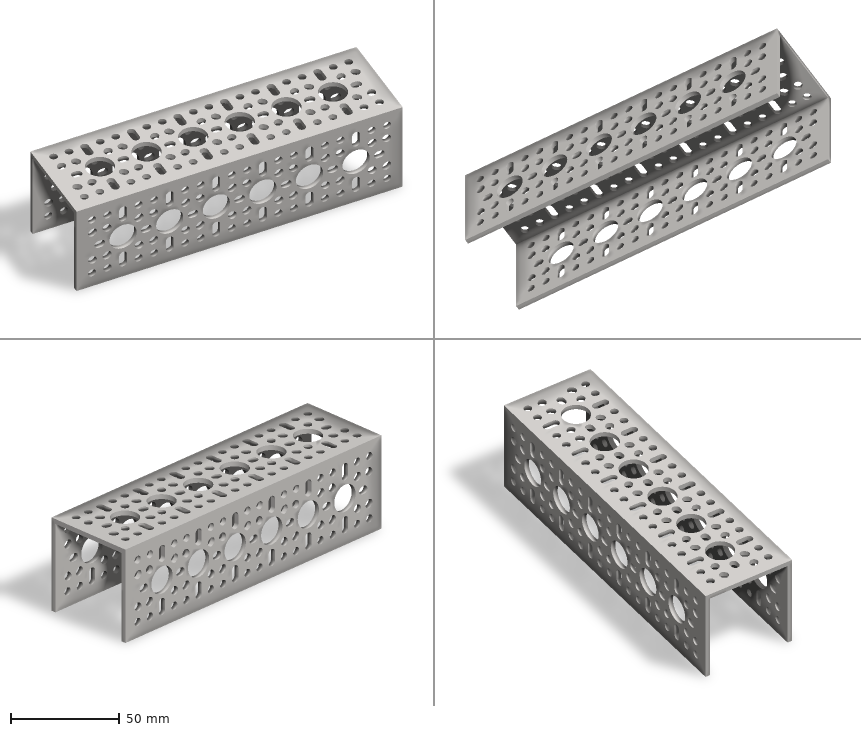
import cadquery as cq
import math

length = 168.0
wall = 2.5
station_count = 6
steps_per_station = 3
hole_diameter = 4.0
bore_diameter = 14.0

station_pitch = length / (station_count + 1)
half_bay = station_pitch / 2
grid = station_pitch / steps_per_station
side = 2 * station_pitch
cut_depth = side

turned_square_radius = grid * math.sqrt(2)
bolt_circle_corner = half_bay / math.sqrt(2)
outer_row = 2 * grid

station_positions = [(i - (station_count - 1) / 2) * station_pitch for i in range(station_count)]
bay_middles = [(i - station_count / 2) * station_pitch for i in range(station_count + 1)]


def make_channel():
    """U-channel open downward, centred on the origin, running along Y."""
    outside = cq.Workplane("XY").box(side, length, side)
    inside = cq.Workplane("XY").box(side - 2 * wall, length, side).translate((0, 0, -wall))
    return outside.cut(inside)


def round_hole(x, y, diameter):
    """Round cutter standing on the XY plane."""
    return cq.Workplane("XY").center(x, y).circle(diameter / 2).extrude(cut_depth)


def slot(start, end):
    """Round-ended cutter whose end arcs are centred on the start and end points."""
    run_x = end[0] - start[0]
    run_y = end[1] - start[1]
    overall = math.hypot(run_x, run_y) + hole_diameter
    angle = math.degrees(math.atan2(run_y, run_x))
    middle = ((start[0] + end[0]) / 2, (start[1] + end[1]) / 2)
    return cq.Workplane("XY").center(*middle).slot2D(overall, hole_diameter, angle).extrude(cut_depth)


def station_cutters(station_y):
    """Bore with a crosswise slot on each side of it."""
    cutters = [round_hole(0, station_y, bore_diameter)]
    for x_sign in (-1, 1):
        inner_end = (x_sign * turned_square_radius, station_y)
        outer_end = (x_sign * outer_row, station_y)
        cutters.append(slot(inner_end, outer_end))
    return cutters


def bay_cutters(middle_y):
    """Lengthwise centre slot, four outer holes and four diagonal slots of one bay."""
    half_travel = half_bay - turned_square_radius
    cutters = [slot((0, middle_y - half_travel), (0, middle_y + half_travel))]
    for y_sign in (-1, 1):
        bay_end = middle_y - y_sign * half_bay
        grid_y = bay_end + y_sign * grid
        circle_y = bay_end + y_sign * bolt_circle_corner
        for x_sign in (-1, 1):
            cutters.append(round_hole(x_sign * outer_row, grid_y, hole_diameter))
            cutters.append(slot((x_sign * grid, grid_y), (x_sign * bolt_circle_corner, circle_y)))
    return cutters


def face_pattern():
    """All cutters of one face, pointing up along +Z from the channel axis."""
    cutters = []
    for station_y in station_positions:
        cutters += station_cutters(station_y)
    for middle_y in bay_middles:
        cutters += bay_cutters(middle_y)
    solids = [cutter.val() for cutter in cutters]
    return cq.Workplane("XY").newObject([cq.Compound.makeCompound(solids)])


pattern = face_pattern()
result = make_channel()
for turn in (-90, 0, 90):
    result = result.cut(pattern.rotate((0, 0, 0), (0, 1, 0), turn))